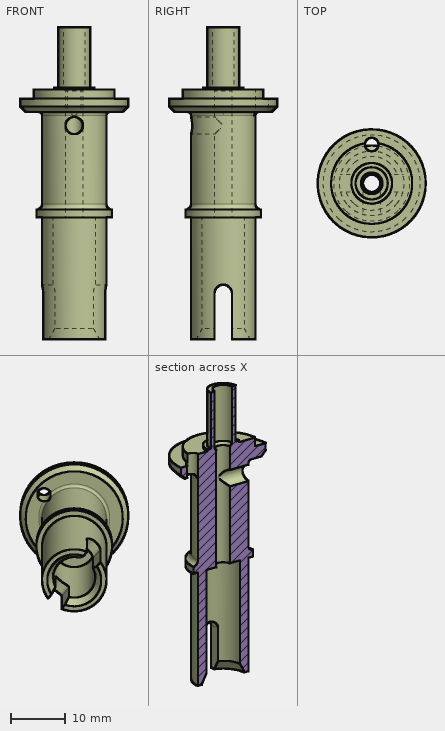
import cadquery as cq
import math

total_height = 57.7
stem_base_z = 46.55
disc_top_z = 46.2
disc_base_z = 44.5
flange_edge_z = 43.05
flange_base_z = 42.0
collar_top_z = 24.0
collar_base_z = 22.55

stem_radius = 5.95 / 2
step_radius = 7.5 / 2
disc_radius = 15.0 / 2
flange_radius = 20.0 / 2
body_radius = 11.95 / 2
collar_radius = 14.0 / 2

flange_chamfer = flange_edge_z - flange_base_z
neck_fillet = 0.6
collar_fillet = collar_radius - body_radius

stem_bore_radius = 4.0 / 2
core_bore_radius = 3.2 / 2
bore_cone_height = 0.7
socket_radius = 7.8 / 2
socket_depth = collar_base_z
mouth_radius = 10.0 / 2
mouth_depth = 2.0

cross_hole_diameter = 3.2
cross_hole_z = 39.5
flange_hole_diameter = 2.5
flange_hole_offset = 7.15
slot_width = 3.2
slot_height = 10.1


def fillet_midpoint(center_r, center_z, radius, side):
    """Middle of a concave fillet arc facing the body; side is +1 for its upper half, -1 for its lower."""
    reach = radius * math.sqrt(0.5)
    return center_r - reach, center_z + side * reach


def turned_body():
    """Revolve the outside profile, drawn as radius against height, about Z."""
    neck_center = (body_radius + neck_fillet, flange_base_z - neck_fillet)
    collar_center = (body_radius + collar_fillet, collar_top_z + collar_fillet)
    profile = (
        cq.Workplane("XZ")
        .moveTo(0, 0)
        .lineTo(body_radius, 0)
        .lineTo(body_radius, collar_base_z)
        .lineTo(collar_radius, collar_base_z)
        .lineTo(collar_radius, collar_top_z)
        .threePointArc(
            fillet_midpoint(*collar_center, collar_fillet, -1),
            (body_radius, collar_center[1]),
        )
        .lineTo(body_radius, neck_center[1])
        .threePointArc(
            fillet_midpoint(*neck_center, neck_fillet, 1),
            (neck_center[0], flange_base_z),
        )
        .lineTo(flange_radius - flange_chamfer, flange_base_z)
        .lineTo(flange_radius, flange_edge_z)
        .lineTo(flange_radius, disc_base_z)
        .lineTo(disc_radius, disc_base_z)
        .lineTo(disc_radius, disc_top_z)
        .lineTo(step_radius, disc_top_z)
        .lineTo(step_radius, stem_base_z)
        .lineTo(stem_radius, stem_base_z)
        .lineTo(stem_radius, total_height)
        .lineTo(0, total_height)
        .close()
    )
    return profile.revolve(360, (0, 0, 0), (0, 1, 0))


def bore():
    """Solid of revolution that removes the flared socket, the core bore and the stem bore."""
    profile = [
        (0, 0),
        (mouth_radius, 0),
        (socket_radius, mouth_depth),
        (socket_radius, socket_depth),
        (core_bore_radius, socket_depth),
        (core_bore_radius, stem_base_z - bore_cone_height),
        (stem_bore_radius, stem_base_z),
        (stem_bore_radius, total_height),
        (0, total_height),
    ]
    return cq.Workplane("XZ").polyline(profile).close().revolve(360, (0, 0, 0), (0, 1, 0))


def flange_hole():
    """Off-center hole through the disc, the flange and the neck fillet under it."""
    bottom_z = flange_base_z - neck_fillet
    return (
        cq.Workplane("XY", origin=(0, flange_hole_offset, bottom_z))
        .circle(flange_hole_diameter / 2)
        .extrude(disc_top_z - bottom_z)
    )


def cross_hole():
    """Radial hole from the -Y side into the bore."""
    return (
        cq.Workplane("XZ", origin=(0, 0, cross_hole_z))
        .circle(cross_hole_diameter / 2)
        .extrude(flange_radius)
    )


def end_slot():
    """Round-topped slot along X, cut through both walls at the lower end."""
    half_width = slot_width / 2
    return (
        cq.Workplane("YZ")
        .moveTo(-half_width, 0)
        .lineTo(half_width, 0)
        .lineTo(half_width, slot_height - half_width)
        .threePointArc((0, slot_height), (-half_width, slot_height - half_width))
        .close()
        .extrude(flange_radius, both=True)
    )


result = turned_body().cut(bore()).cut(cross_hole()).cut(flange_hole()).cut(end_slot())